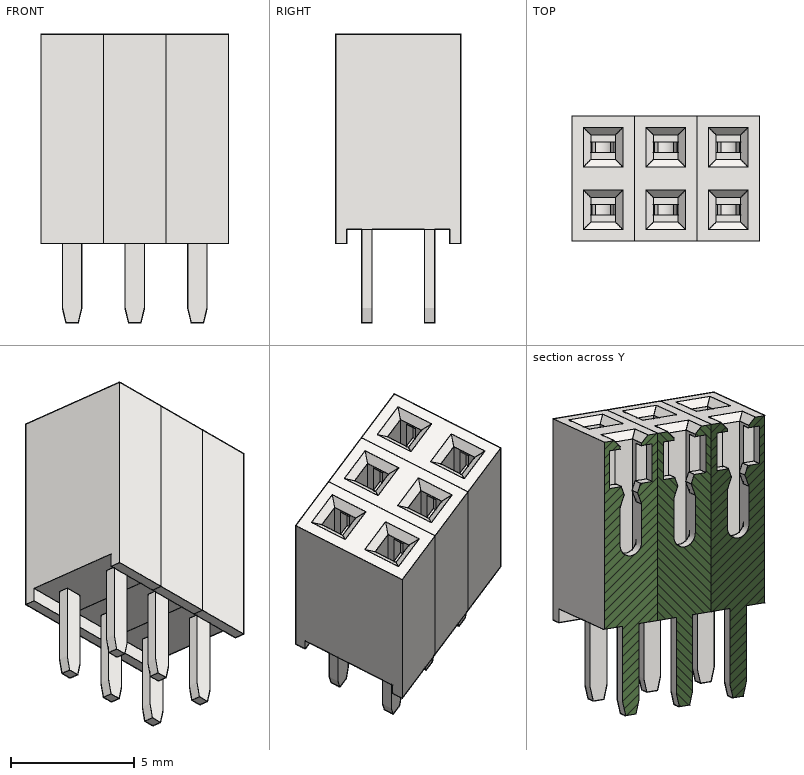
import cadquery as cq
import math


module_count = 3
row_count = 2
pitch = 2.54
overall_height = 11.7

housing_height = 8.5
housing_depth = row_count * pitch
foot_height = 0.58
foot_thickness = 0.46

socket_width = 1.0
mouth_chamfer = 0.3
mouth_width = socket_width + 2 * mouth_chamfer
socket_depth = 5.97
socket_floor_z = housing_height - socket_depth

contact_thickness = 0.42
fork_width = 1.99
fork_height = 3.98
fork_top_z = socket_floor_z + fork_height
fork_entry_width = 0.9
fork_throat_width = 0.61
lead_in_angle = 69.0
notch_radius = socket_width / 2
notch_floor_web = 1.0

slot_top_gap = 0.12
slot_top_z = housing_height - mouth_chamfer - slot_top_gap

tail_width = 0.8
tip_width = 0.5
tip_height = 0.6
tail_end_z = housing_height - overall_height


def box_between(width, depth, bottom_z, top_z):
    """Box centred on the Z axis, reaching from bottom_z to top_z."""
    height = top_z - bottom_z
    return cq.Workplane("XY").workplane(offset=bottom_z).rect(width, depth).extrude(height)


def sheet(outline):
    """Closed XZ outline extruded to the contact thickness, centred on Y = 0."""
    return outline.close().extrude(contact_thickness / 2, both=True)


def make_housing_block():
    """Plain block with a channel along X underneath, which leaves a foot along each long side."""
    block = box_between(pitch, housing_depth, 0, housing_height)
    channel = box_between(pitch, housing_depth - 2 * foot_thickness, 0, foot_height)
    return block.cut(channel)


def make_socket_space():
    """Space of one socket: square shaft, chamfered mouth and the slots for the tines."""
    shaft = box_between(socket_width, socket_width, socket_floor_z, housing_height)
    mouth = (
        cq.Workplane("XY")
        .workplane(offset=housing_height - mouth_chamfer)
        .rect(socket_width, socket_width)
        .workplane(offset=mouth_chamfer)
        .rect(mouth_width, mouth_width)
        .loft(ruled=True)
    )
    slots = box_between(fork_width, contact_thickness, socket_floor_z, slot_top_z)
    return shaft.union(mouth).union(slots)


def make_notch():
    """Opening between the tines: lead-in, throat, flare to full width, round bottom."""
    half_entry = fork_entry_width / 2
    half_throat = fork_throat_width / 2
    slope = math.tan(math.radians(lead_in_angle))
    throat_z = fork_top_z - (half_entry - half_throat) * slope
    flare_z = throat_z - (notch_radius - half_throat) * slope
    bottom_z = socket_floor_z + notch_floor_web
    arc_end_z = bottom_z + notch_radius
    outline = (
        cq.Workplane("XZ")
        .moveTo(half_entry, fork_top_z)
        .lineTo(half_throat, throat_z)
        .lineTo(notch_radius, flare_z)
        .lineTo(notch_radius, arc_end_z)
        .threePointArc((0, bottom_z), (-notch_radius, arc_end_z))
        .lineTo(-notch_radius, flare_z)
        .lineTo(-half_throat, throat_z)
        .lineTo(-half_entry, fork_top_z)
    )
    return sheet(outline)


def make_tail():
    """Straight solder tail below the fork, tapered in X at its tip."""
    tip_start_z = tail_end_z + tip_height
    outline = cq.Workplane("XZ").polyline([
        (-tail_width / 2, socket_floor_z),
        (-tail_width / 2, tip_start_z),
        (-tip_width / 2, tail_end_z),
        (tip_width / 2, tail_end_z),
        (tail_width / 2, tip_start_z),
        (tail_width / 2, socket_floor_z),
    ])
    return sheet(outline)


def make_contact():
    """Forked contact with its solder tail."""
    fork = box_between(fork_width, contact_thickness, socket_floor_z, fork_top_z)
    return fork.cut(make_notch()).union(make_tail())


def centred_positions(count):
    """Positions of count items at the pitch, centred on zero."""
    return [(index - (count - 1) / 2) * pitch for index in range(count)]


def make_module():
    """One housing with its row of contacts, as a single solid centred on X = 0."""
    module = make_housing_block()
    for y in centred_positions(row_count):
        module = module.cut(make_socket_space().translate((0, y, 0)))
        module = module.union(make_contact().translate((0, y, 0)))
    return module


modules = [make_module().translate((x, 0, 0)) for x in centred_positions(module_count)]

result = cq.Compound.makeCompound([module.solids().val() for module in modules])